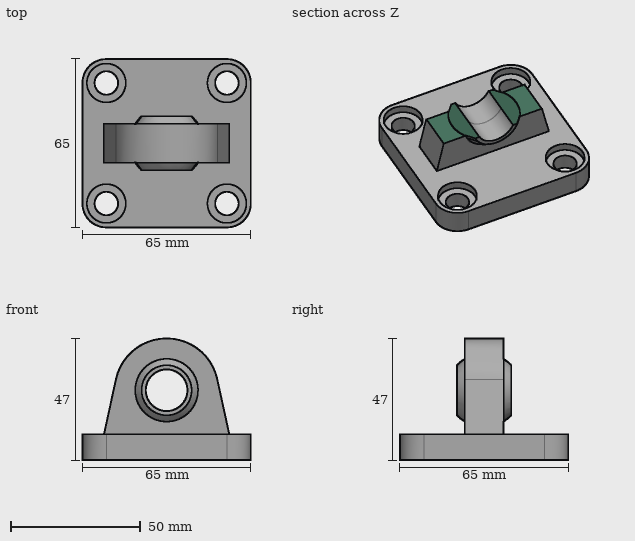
import cadquery as cq
import math

plate_side = 65.0
plate_height = 10.0
hole_spacing = 46.5
corner_radius = (plate_side - hole_spacing) / 2
bolt_hole_diameter = 9.0
counterbore_diameter = 15.0
counterbore_depth = 3.25

overall_height = 47.0
lug_radius = 20.0
lug_base_width = 48.35
lug_thickness = 15.0
eye_height = overall_height - lug_radius

ball_width = 21.0
ball_face_diameter = 19.3
bore_diameter = 16.0
ball_radius = math.hypot(ball_width, ball_face_diameter) / 2


def make_plate():
    """Rounded square plate with a counterbored hole at each corner."""
    return (
        cq.Workplane("XY")
        .rect(plate_side, plate_side)
        .extrude(plate_height)
        .edges("|Z")
        .fillet(corner_radius)
        .faces(">Z")
        .workplane()
        .rect(hole_spacing, hole_spacing, forConstruction=True)
        .vertices()
        .cboreHole(bolt_hole_diameter, counterbore_diameter, counterbore_depth)
    )


def make_lug():
    """Upright lug whose straight flanks run tangent into the round top."""
    half_base = lug_base_width / 2
    eye_rise = eye_height - plate_height
    corner_angle = math.atan2(-eye_rise, half_base)
    tangent_angle = corner_angle + math.acos(lug_radius / math.hypot(half_base, eye_rise))
    tangent_x = lug_radius * math.cos(tangent_angle)
    tangent_z = eye_height + lug_radius * math.sin(tangent_angle)
    return (
        cq.Workplane("XZ")
        .moveTo(-half_base, plate_height)
        .lineTo(half_base, plate_height)
        .lineTo(tangent_x, tangent_z)
        .threePointArc((0, overall_height), (-tangent_x, tangent_z))
        .close()
        .extrude(lug_thickness / 2, both=True)
    )


def make_full_sphere():
    """Sphere centred on the eye of the lug."""
    return cq.Workplane("XY").sphere(ball_radius).translate((0, 0, eye_height))


def make_housing():
    """Plate and lug in one piece, with a spherical seat for the ball."""
    return make_plate().union(make_lug()).cut(make_full_sphere())


def make_ball():
    """Ball cut flat at both ends and bored through along Y."""
    ring = (
        cq.Workplane("XZ", origin=(0, 0, eye_height))
        .circle(ball_radius)
        .circle(bore_diameter / 2)
        .extrude(ball_width / 2, both=True)
    )
    return make_full_sphere().intersect(ring)


housing = make_housing()
ball = make_ball()

result = cq.Compound.makeCompound([housing.solids().val(), ball.solids().val()])